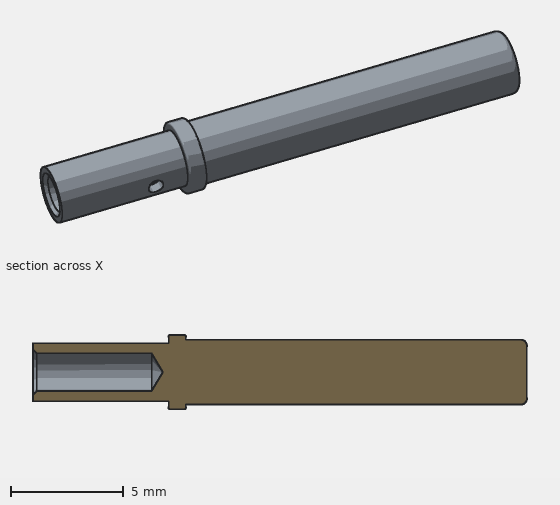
import cadquery as cq
import math

total_length = 21.92
barrel_length = 6.0
collar_width = 0.8
barrel_radius = 1.3
collar_diameter = 3.3
collar_radius = collar_diameter / 2
pin_radius = 1.45
pin_tip_fillet = 0.28
collar_fillet = 0.09

bore_radius = 0.83
mouth_radius = 1.0
mouth_depth = mouth_radius - bore_radius
bore_depth = 5.25
drill_point_angle = 118.0

inspection_radius = 0.35
inspection_distance = 4.5


def rod(radius, start, length):
    """Cylinder along +Y whose first face lies at the given Y."""
    return cq.Workplane("XZ", origin=(0, start, 0)).circle(radius).extrude(-length)


def make_body():
    collar_end = barrel_length + collar_width
    barrel = rod(barrel_radius, 0, collar_end)
    collar = rod(collar_radius, barrel_length, collar_width).edges().fillet(collar_fillet)
    pin = rod(pin_radius, collar_end, total_length - collar_end)
    pin = pin.faces(">Y").edges().fillet(pin_tip_fillet)
    return barrel.union(collar).union(pin)


def make_bore():
    point_length = bore_radius / math.tan(math.radians(drill_point_angle / 2))
    half_profile = [
        (0, 0),
        (mouth_radius, 0),
        (bore_radius, mouth_depth),
        (bore_radius, bore_depth),
        (0, bore_depth + point_length),
    ]
    return cq.Workplane("XY").polyline(half_profile).close().revolve(360, (0, 0), (0, 1))


def make_inspection_hole():
    plane = cq.Workplane("YZ").center(inspection_distance, 0)
    return plane.circle(inspection_radius).extrude(collar_radius)


result = make_body().cut(make_bore()).cut(make_inspection_hole())